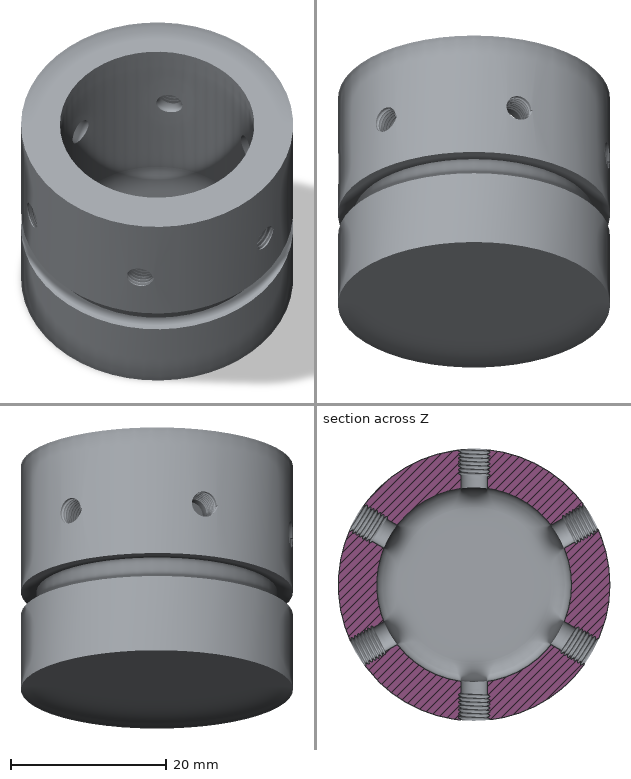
import cadquery as cq

outer_radius = 17.55
total_height = 30.0
wall = 5.0
floor_thickness = wall
floor_fillet = wall / 2

groove_bottom = 10.0
groove_width = 3.1
groove_depth = 2.0

hole_count = 6
hole_height = 20.0
hole_radius = 1.7

thread_pitch = 0.5
thread_turns = 7
thread_length = thread_pitch * thread_turns
thread_start_inset = 0.2
thread_major_radius = 2.0
thread_root_width = 0.088
thread_overlap = 0.07
thread_mouth_width = 0.45


def make_sleeve():
    """Cylinder with a blind bore whose floor corner is rounded."""
    bore_radius = outer_radius - wall
    body = cq.Workplane("XY").circle(outer_radius).extrude(total_height)
    bore = (
        cq.Workplane("XY", origin=(0, 0, floor_thickness))
        .circle(bore_radius)
        .extrude(total_height - floor_thickness)
        .faces("<Z")
        .edges()
        .fillet(floor_fillet)
    )
    return body.cut(bore)


def make_ring_groove():
    """Ring to remove from the outside of the sleeve."""
    return (
        cq.Workplane("XY", origin=(0, 0, groove_bottom))
        .circle(outer_radius)
        .circle(outer_radius - groove_depth)
        .extrude(groove_width)
    )


def make_drill():
    """Plain hole along +Z, from the outer radius to the middle of the bore."""
    return cq.Workplane("XY").circle(hole_radius).extrude(outer_radius)


def make_thread():
    """Right-hand helical ridge along +Z that cuts the thread groove."""
    inner_radius = hole_radius - thread_overlap
    path = cq.Workplane(cq.Wire.makeHelix(thread_pitch, thread_length, hole_radius))
    ridge = (
        cq.Workplane("XZ")
        .moveTo(inner_radius, -thread_mouth_width / 2)
        .lineTo(thread_major_radius, -thread_root_width / 2)
        .lineTo(thread_major_radius, thread_root_width / 2)
        .lineTo(inner_radius, thread_mouth_width / 2)
        .close()
        .sweep(path, isFrenet=True)
    )
    return ridge.translate((0, 0, thread_start_inset))


def place_in_wall(tool, angle):
    """Point a +Z tool inward from the outer surface, at an angle around Z from the -Y side."""
    inward = tool.rotate((0, 0, 0), (1, 0, 0), -90)
    at_surface = inward.translate((0, -outer_radius, hole_height))
    return at_surface.rotate((0, 0, 0), (0, 0, 1), angle)


sleeve = make_sleeve().cut(make_ring_groove())

for cutter in (make_drill(), make_thread()):
    for index in range(hole_count):
        sleeve = sleeve.cut(place_in_wall(cutter, index * 360 / hole_count))

result = cq.Workplane(sleeve.solids().val())